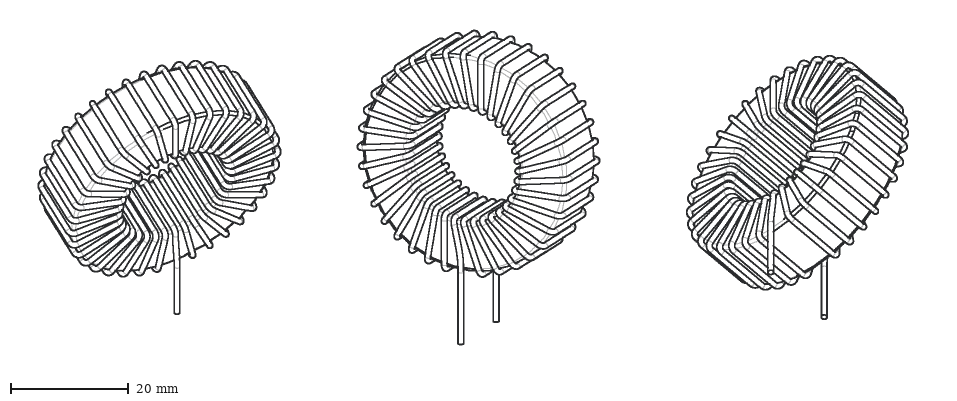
import cadquery as cq
import math


core_outer_diameter = 38.6
core_inner_diameter = 21.3
core_width = 11.3
core_fillet = 0.5

wire_diameter = 1.0
turn_count = 36
lead_spacing = 13.5
lead_top_z = -19.15
lead_bottom_z = -32.0

wire_radius = wire_diameter / 2
outer_run_radius = core_outer_diameter / 2 + wire_radius
inner_run_radius = core_inner_diameter / 2 - wire_radius
face_run_x = core_width / 2 + wire_radius
bend_radius = core_fillet + wire_radius
turn_pitch = 2 * math.pi / turn_count
lead_angle = math.pi
down = cq.Vector(0, 0, -1)


def coil_point(x, radius, angle):
    """Point at an angle around the X axis, counted from +Z towards -Y."""
    return cq.Vector(x, -radius * math.sin(angle), radius * math.cos(angle))


def build_core():
    ring = (
        cq.Workplane("YZ", origin=(-core_width / 2, 0, 0))
        .circle(core_outer_diameter / 2)
        .circle(core_inner_diameter / 2)
        .extrude(core_width)
    )
    return ring.faces("<X or >X").edges().fillet(core_fillet)


def winding_corners():
    """Sharp corners of the winding, from the inner run at the first lead to that at the last.

    The wire goes straight out across the +X face and slants back by one pitch across the -X face.
    """
    corners = []
    for turn in range(1, turn_count):
        angle = lead_angle + turn * turn_pitch
        corners += [
            coil_point(-face_run_x, inner_run_radius, angle),
            coil_point(face_run_x, inner_run_radius, angle),
            coil_point(face_run_x, outer_run_radius, angle),
            coil_point(-face_run_x, outer_run_radius, angle),
        ]
    corners += [
        coil_point(-face_run_x, inner_run_radius, lead_angle),
        coil_point(face_run_x, inner_run_radius, lead_angle),
    ]
    return corners


def bend_at(before, corner, after):
    """Quarter-circle arc that rounds a square corner of the winding."""
    incoming = (corner - before).normalized()
    outgoing = (after - corner).normalized()
    middle = corner + (outgoing - incoming) * (bend_radius * (1 - math.sqrt(0.5)))
    start = corner - incoming * bend_radius
    end = corner + outgoing * bend_radius
    return cq.Edge.makeThreePointArc(start, middle, end)


def winding_path():
    corners = winding_corners()
    first_lead_top = cq.Vector(-lead_spacing / 2, 0, lead_top_z)
    last_lead_top = cq.Vector(lead_spacing / 2, 0, lead_top_z)
    first_lead_end = cq.Vector(-lead_spacing / 2, 0, lead_bottom_z)
    last_lead_end = cq.Vector(lead_spacing / 2, 0, lead_bottom_z)

    first_rim = coil_point(-face_run_x, outer_run_radius, lead_angle)
    last_rim = coil_point(face_run_x, outer_run_radius, lead_angle)
    stops = [first_rim, *corners, last_rim]
    bends = [bend_at(*stops[i - 1:i + 2]) for i in range(1, len(stops) - 1)]

    first_start = bends[0].startPoint()
    last_start = bends[-1].endPoint()
    first_curve = cq.Edge.makeSpline(
        [first_lead_top, first_start], tangents=[-down, (corners[0] - first_rim).normalized()]
    )
    last_curve = cq.Edge.makeSpline([last_start, last_lead_top], tangents=[down, down])

    edges = [cq.Edge.makeLine(first_lead_end, first_lead_top), first_curve, bends[0]]
    for previous, bend in zip(bends, bends[1:]):
        edges += [cq.Edge.makeLine(previous.endPoint(), bend.startPoint()), bend]
    edges += [last_curve, cq.Edge.makeLine(last_lead_top, last_lead_end)]
    return cq.Wire.assembleEdges(edges)


def build_wire():
    section = cq.Workplane("XY", origin=(-lead_spacing / 2, 0, lead_bottom_z)).circle(wire_radius)
    return section.sweep(cq.Workplane(winding_path()))


core = build_core()
wire = build_wire()

result = cq.Compound.makeCompound([core.val(), wire.val()])